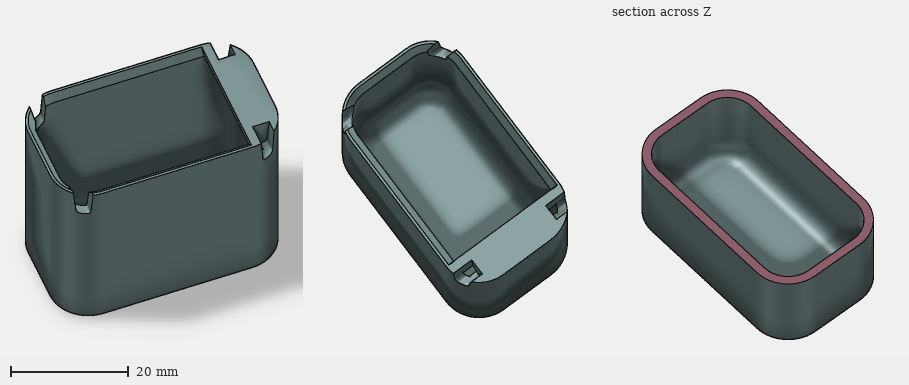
import cadquery as cq
import math

width = 24.0
length = 41.2
height = 33.7
corner_radius = 7.0
base_chamfer = 1.0

wall = 1.7
floor_thickness = wall
floor_fillet = 3.85
cavity_corner_radius = corner_radius - wall

rim_width = 0.5
bevel = wall - rim_width
bevel_angle = 45
bridge_depth = 6.92
bridge_front = length / 2 - bridge_depth
bridge_lip = bevel
bridge_slope = 52

notch_y = 16.85
notch_top_width = 3.0
notch_bottom_width = 2.15
notch_depth = 5.0
notch_fillet = 0.7
notch_inner_x = 7.85


def rounded_block(size_x, size_y, size_z, radius, base_z):
    """Upright block with rounded vertical corners, standing on base_z."""
    block = cq.Workplane("XY").workplane(offset=base_z).rect(size_x, size_y).extrude(size_z)
    return block.edges("|Z").fillet(radius)


def make_body():
    body = rounded_block(width, length, height, corner_radius, 0)
    return body.faces("<Z").chamfer(base_chamfer)


def make_cavity():
    """Hollow with a filleted floor, widening to the thin rim at the mouth."""
    inner_width = width - 2 * wall
    inner_length = length - 2 * wall
    hollow = rounded_block(
        inner_width, inner_length, height - floor_thickness, cavity_corner_radius, floor_thickness
    )
    hollow = hollow.faces("<Z").edges().fillet(floor_fillet)
    mouth_outline = cq.Sketch().rect(width - 2 * rim_width, length - 2 * rim_width)
    mouth_outline = mouth_outline.vertices().fillet(corner_radius - rim_width)
    mouth = (
        cq.Workplane("XY")
        .workplane(offset=height)
        .placeSketch(mouth_outline)
        .extrude(-bevel, taper=bevel_angle)
    )
    return hollow.union(mouth)


def make_bridge_space():
    """Region kept solid: an upright lip with a steep underside sloping to the +Y wall."""
    back = length / 2
    lip_bottom = height - bridge_lip
    underside_drop = bridge_depth * math.tan(math.radians(bridge_slope))
    return (
        cq.Workplane("YZ")
        .moveTo(bridge_front, height)
        .lineTo(back, height)
        .lineTo(back, lip_bottom - underside_drop)
        .lineTo(bridge_front, lip_bottom)
        .close()
        .extrude(width / 2, both=True)
    )


def make_notch(side, y):
    """Tapered, round-bottomed notch from the outer side face to notch_inner_x."""
    notch = (
        cq.Workplane("YZ", origin=(side * notch_inner_x, y, height))
        .moveTo(-notch_top_width / 2, 0)
        .lineTo(-notch_bottom_width / 2, -notch_depth)
        .lineTo(notch_bottom_width / 2, -notch_depth)
        .lineTo(notch_top_width / 2, 0)
        .close()
        .extrude(side * (width / 2 - notch_inner_x))
    )
    return notch.faces("<Z").edges("|X").fillet(notch_fillet)


cavity = make_cavity().cut(make_bridge_space())
result = make_body().cut(cavity)
for side in (-1, 1):
    for y in (-notch_y, notch_y):
        result = result.cut(make_notch(side, y))